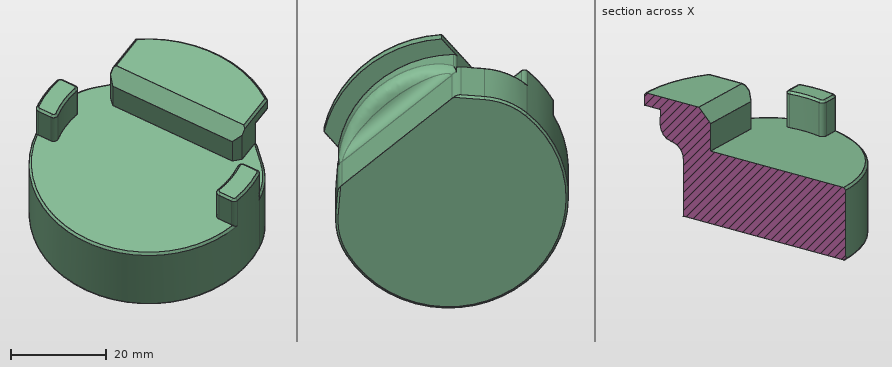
import cadquery as cq
import math

base_radius = 25.0
base_height = 16.5
rim_chamfer = 0.5

shoulder_radius = 15.5
flank_distance = 23.15
back_y = 16.6
back_corner_radius = 2.6

block_width = 32.2
block_front_y = 9.5
block_corner_chamfer = 1.5
block_front_chamfer = 3.0
shelf_top_z = 25.7
shelf_thickness = 3.0
shelf_back_y = 26.5
shelf_back_radius = 27.0
neck_back_y = 22.5
neck_back_radius = 25.0
neck_corner_radius = 1.0
overhang_z = 16.15
underside_root_radius = 3.2
underside_edge_radius = 3.2

tab_top_z = 24.6
tab_length = 10.0
tab_center_y = -0.5
tab_inner_radius = 20.0
tab_corner_radius = 1.0
tab_chamfer = 0.5

half_width = block_width / 2
shelf_bottom_z = shelf_top_z - shelf_thickness
rim_chamfer_z = base_height - rim_chamfer
diagonal = math.sqrt(0.5)
overlap = 1.0
tolerance = 0.1


def base_outline():
    """Closed outline of the base with its flanks running on to meet at X = 0."""
    center_offset = base_radius - shoulder_radius
    angle_to_flank = math.acos((flank_distance - shoulder_radius) / center_offset)
    start_angle = math.pi / 4 - angle_to_flank
    mid_angle = math.pi / 4 - angle_to_flank / 2
    center_x = center_offset * math.cos(start_angle)
    center_y = center_offset * math.sin(start_angle)
    start_x = base_radius * math.cos(start_angle)
    start_y = base_radius * math.sin(start_angle)
    mid_x = center_x + shoulder_radius * math.cos(mid_angle)
    mid_y = center_y + shoulder_radius * math.sin(mid_angle)
    end_x = center_x + shoulder_radius * diagonal
    end_y = center_y + shoulder_radius * diagonal
    return (
        cq.Workplane("XY")
        .moveTo(-start_x, start_y)
        .threePointArc((0, -base_radius), (start_x, start_y))
        .threePointArc((mid_x, mid_y), (end_x, end_y))
        .lineTo(0, flank_distance / diagonal)
        .lineTo(-end_x, end_y)
        .threePointArc((-mid_x, mid_y), (-start_x, start_y))
        .close()
    )


def make_base():
    """Chamfered puck, cut off flat at the back with rounded back corners."""
    puck = base_outline().extrude(base_height).faces("|Z").chamfer(rim_chamfer)
    cut_off = (
        cq.Workplane("XY")
        .box(2 * base_radius, 2 * base_radius, base_height, centered=(True, False, False))
        .translate((0, back_y, 0))
    )
    trimmed = base_outline().extrude(base_height).cut(cut_off)
    rounded = trimmed.edges("|Z").edges(">Y").fillet(back_corner_radius)
    return puck.intersect(rounded)


def block_outline(back_tip_y, back_radius):
    """Block outline in plan: straight front and sides, arched back."""
    side_y = back_tip_y - back_radius + math.sqrt(back_radius**2 - half_width**2)
    return (
        cq.Workplane("XY")
        .moveTo(-half_width, block_front_y)
        .lineTo(half_width, block_front_y)
        .lineTo(half_width, side_y)
        .threePointArc((0, back_tip_y), (-half_width, side_y))
        .close()
    )


def underside_relief():
    """Cutter under the overhang: vertical back wall, quarter-round root, level ceiling."""
    root_z = overhang_z - underside_root_radius
    mid_y = back_y + underside_root_radius * (1 - diagonal)
    mid_z = root_z + underside_root_radius * diagonal
    outer_y = shelf_back_y + overlap
    return (
        cq.Workplane("YZ")
        .moveTo(back_y, root_z - overlap)
        .lineTo(back_y, root_z)
        .threePointArc((mid_y, mid_z), (back_y + underside_root_radius, overhang_z))
        .lineTo(outer_y, overhang_z)
        .lineTo(outer_y, root_z - overlap)
        .close()
        .extrude(base_radius, both=True)
    )


def make_neck():
    """Neck with a rounded underside and rounded back corners."""
    neck_bottom_z = overhang_z - underside_root_radius
    height = shelf_bottom_z - neck_bottom_z
    neck = block_outline(neck_back_y, neck_back_radius).extrude(height)
    neck = neck.translate((0, 0, neck_bottom_z)).cut(underside_relief())
    lower_back_edges = cq.selectors.BoxSelector(
        (-half_width, back_y, neck_bottom_z),
        (half_width, neck_back_y + overlap, overhang_z + tolerance),
    )
    neck = neck.edges(lower_back_edges).edges("not |X").fillet(underside_edge_radius)
    rounded = block_outline(neck_back_y, neck_back_radius).extrude(shelf_bottom_z)
    rounded = rounded.edges("|Z").edges(">Y").fillet(neck_corner_radius)
    return neck.intersect(rounded)


def make_shelf():
    """Overhanging plate on the neck."""
    shelf = block_outline(shelf_back_y, shelf_back_radius).extrude(shelf_thickness)
    return shelf.translate((0, 0, shelf_bottom_z))


def make_block():
    """Neck and shelf joined, with the front corners and the top edges bevelled."""
    block = make_neck().union(make_shelf()).clean()
    block = block.edges("|Z").edges("<Y").chamfer(block_corner_chamfer)
    block = block.faces(">Z").edges("<Y").chamfer(block_front_chamfer)
    top_rim = block.faces(">Z").edges("not <Y")
    return top_rim.chamfer(rim_chamfer)


def make_tab():
    """Tab on the +X side: a ring segment between two flat ends."""
    bottom_z = rim_chamfer_z
    height = tab_top_z - bottom_z
    ring = cq.Workplane("XY").circle(base_radius).circle(tab_inner_radius).extrude(height)
    slab = (
        cq.Workplane("XY")
        .box(base_radius + overlap, tab_length, height, centered=(False, True, False))
        .translate((0, tab_center_y, 0))
    )
    tab = ring.intersect(slab).edges("|Z").fillet(tab_corner_radius)
    tab = tab.faces(">Z").chamfer(tab_chamfer)
    return tab.translate((0, 0, bottom_z))


tab = make_tab()
result = make_base().union(make_block()).union(tab).union(tab.mirror("YZ"))